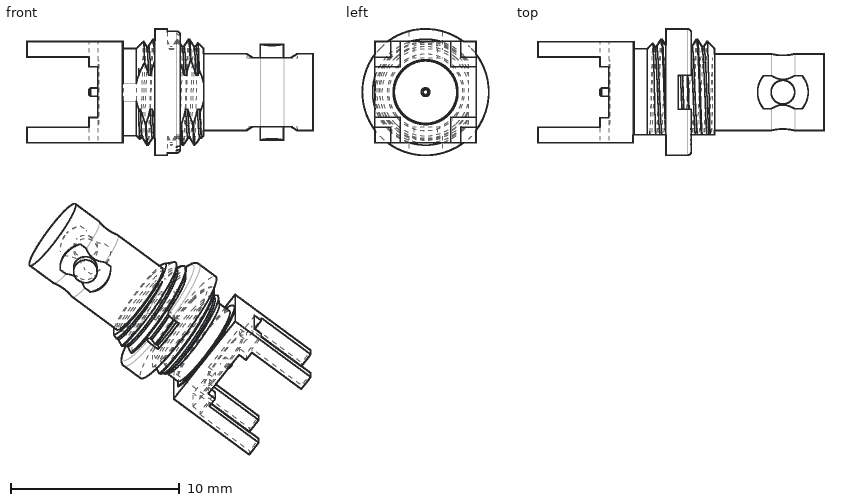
import cadquery as cq
import math


leg_length = 3.68
pad_height = 0.52
block_front_x = 1.96
flange_front_x = 2.02
thread_start_x = 2.81
nut_back_x = 3.91
nut_slot_x = 4.64
nut_front_x = 5.42
thread_end_x = 6.79
barrel_end_x = 13.28
lug_x = barrel_end_x - 2.45

block_side = 6.0
leg_side = 0.93
pad_side = 1.5

recess_radius = 1.92
insulator_radius = 1.85
recess_depth = recess_radius - insulator_radius
contact_radius = 0.25
contact_chamfer = 0.1

flange_radius = block_side / 2
neck_radius = 2.585
thread_pitch = 0.7
thread_crest_radius = 3.14
thread_root_radius = 2.72
thread_crest_width = 0.05
thread_root_width = 0.12
thread_ridge_sink = 0.05
crest_at_top_x = 5.92
flat_y = -2.53

nut_radius = 3.75
nut_slot_width = 2.0
nut_fillet = 0.25

barrel_radius = 2.275
lug_radius = 0.7
lug_tip_radius = 2.84
spotface_radius = 1.5
spotface_z = 2.05
groove_depth = 0.09

overlap = 0.1


def rod(radius, start_x, end_x):
    """Solid cylinder on the X axis."""
    return cq.Workplane("YZ", origin=(start_x, 0, 0)).circle(radius).extrude(end_x - start_x)


def corner_posts(side, start_x, end_x):
    """Four square posts, flush with the corners of the block."""
    offset = (block_side - side) / 2
    return (
        cq.Workplane("YZ", origin=(start_x, 0, 0))
        .rect(2 * offset, 2 * offset, forConstruction=True)
        .vertices()
        .rect(side, side)
        .extrude(end_x - start_x)
    )


def make_mount():
    """Square block with standoff pads, legs and the insulator recess."""
    block = cq.Workplane("YZ", origin=(pad_height, 0, 0)).rect(block_side, block_side)
    block = block.extrude(block_front_x - pad_height)
    pads = corner_posts(pad_side, 0, pad_height)
    legs = corner_posts(leg_side, -leg_length, pad_height)
    recess = cq.Workplane(
        cq.Solid.makeCone(
            recess_radius, insulator_radius, recess_depth,
            pnt=cq.Vector(pad_height, 0, 0), dir=cq.Vector(1, 0, 0),
        )
    )
    contact = rod(contact_radius, 0, block_front_x).faces("<X").chamfer(contact_chamfer)
    return block.union(pads).union(legs).cut(recess).union(contact)


def make_thread():
    """Right-handed thread with both ends chamfered down to the neck radius."""
    turns_before = math.ceil((crest_at_top_x - thread_start_x) / thread_pitch) + 1
    turns_after = math.ceil((thread_end_x - crest_at_top_x) / thread_pitch) + 1
    helix_start_x = crest_at_top_x - turns_before * thread_pitch
    helix_length = (turns_before + turns_after) * thread_pitch

    half_crest = thread_crest_width / 2
    half_root = (thread_pitch - thread_root_width) / 2
    flank_slope = (half_root - half_crest) / (thread_crest_radius - thread_root_radius)
    half_base = half_root + thread_ridge_sink * flank_slope
    base_radius = thread_root_radius - thread_ridge_sink

    helix = cq.Wire.makeHelix(thread_pitch, helix_length, thread_root_radius)
    ridge = (
        cq.Workplane("XZ")
        .polyline([
            (base_radius, -half_base),
            (thread_crest_radius, -half_crest),
            (thread_crest_radius, half_crest),
            (base_radius, half_base),
        ])
        .close()
        .sweep(cq.Workplane(helix), isFrenet=True)
        .rotate((0, 0, 0), (0, 0, 1), 180)
        .rotate((0, 0, 0), (0, 1, 0), 90)
        .translate((helix_start_x, 0, 0))
    )
    envelope_radius = thread_crest_radius + overlap
    envelope = rod(envelope_radius, thread_start_x, thread_end_x)
    envelope = envelope.faces("<X or >X").chamfer(envelope_radius - neck_radius)
    core = rod(thread_root_radius, thread_start_x, thread_end_x)
    return core.intersect(envelope).union(ridge.intersect(envelope))


def make_body():
    """Flange, neck and thread with one flat along the -Y side."""
    flange = rod(flange_radius, block_front_x, flange_front_x)
    neck = rod(neck_radius, block_front_x, thread_start_x + overlap)
    body = make_thread().union(neck).union(flange)
    beyond_flat = cq.Workplane("XY").box(
        thread_end_x - block_front_x, nut_radius, 2 * nut_radius, centered=(False, False, True)
    ).translate((block_front_x, flat_y - nut_radius, 0))
    return body.cut(beyond_flat)


def make_nut():
    """Round nut with a rounded front rim and two spanner slots."""
    nut = rod(nut_radius, nut_back_x, nut_front_x).faces(">X").edges().fillet(nut_fillet)
    slot_tool = cq.Workplane("XY").box(
        nut_front_x - nut_slot_x, nut_slot_width, 2 * nut_radius, centered=(False, True, True)
    ).translate((nut_slot_x, 0, 0))
    slots = slot_tool.cut(rod(neck_radius, nut_slot_x, nut_front_x))
    return nut.cut(slots)


def make_barrel():
    """Plain barrel with an arc groove, two spot faces and two bayonet lugs."""
    barrel = rod(barrel_radius, thread_end_x - overlap, barrel_end_x)
    groove = (
        cq.Workplane("XY")
        .moveTo(lug_x - lug_radius, barrel_radius)
        .threePointArc((lug_x, barrel_radius - groove_depth), (lug_x + lug_radius, barrel_radius))
        .close()
        .revolve(360, (0, 0, 0), (1, 0, 0))
    )
    barrel = barrel.cut(groove)
    for side in (1, -1):
        spotface = cq.Workplane("XY", origin=(lug_x, 0, side * spotface_z))
        spotface = spotface.circle(spotface_radius).extrude(side * barrel_radius)
        barrel = barrel.cut(spotface)
    lugs = cq.Workplane("XY", origin=(lug_x, 0, 0)).circle(lug_radius)
    lugs = lugs.extrude(lug_tip_radius, both=True)
    lugs = lugs.intersect(rod(lug_tip_radius, lug_x - lug_radius, lug_x + lug_radius))
    return barrel.union(lugs)


result = make_mount().union(make_nut()).union(make_body()).union(make_barrel())